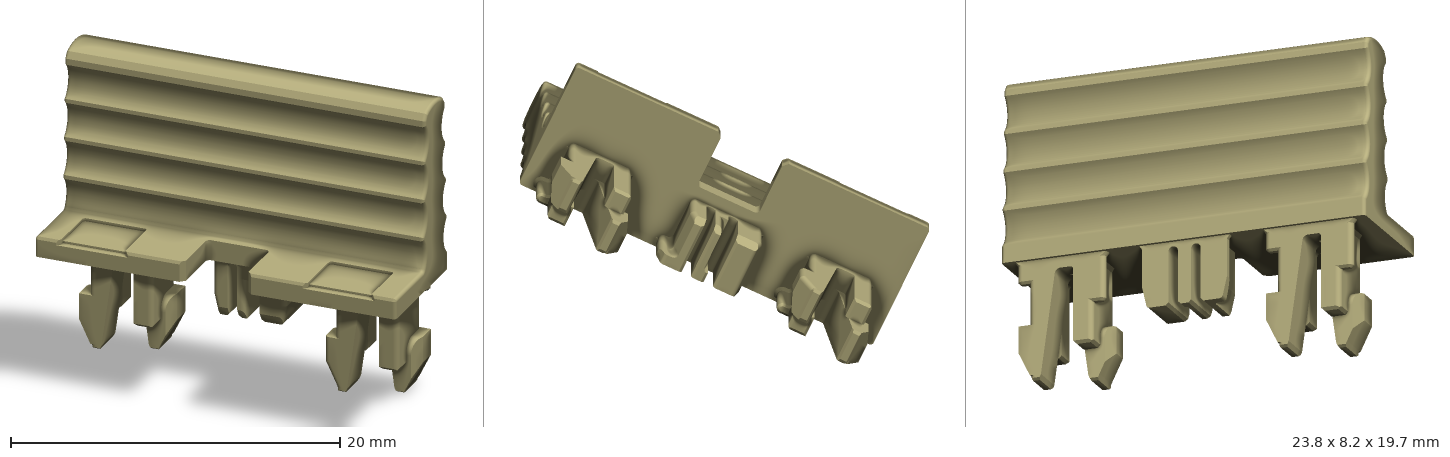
import cadquery as cq
import math


length = 23.8
top_z = 12.0
back_y = 2.0
front_y = -6.2
plate_top = 1.34
back_lip_z = 1.12
crown_half_width = 1.32
crown_edge_z = 11.7
grip_top_half = 1.6
grip_shoulder_z = 11.3
scallop_radius = 1.5
scallop_pitch = 2.5
scallop_count = 4
first_scallop_z = 2.28
first_valley_half = 1.45
end_round = 0.22
front_edge_depth = 0.1
front_edge_height = 0.18
foot_round = 0.25

side_slope = (back_y - grip_top_half) / (grip_shoulder_z - back_lip_z)

notch_half = 2.07
notch_back_y = -2.54
notch_corner = 0.27
notch_chamfer = 0.3
recess_center_x = 8.13
recess_width = 4.22
recess_front_y = -5.73
recess_floor_z = 1.14
recess_corner = 0.2
recess_lip_z = 1.0
recess_flare = 0.25
recess_flare_depth = 0.2

leg_offset = 8.1
leg_half_depth = 1.76
shank_half = 2.08
shank_round = 0.33
arm_split_y = 0.45
crotch_z = -0.7
crotch_corner = 0.2
slant_top_x = 0.39
slant_top_z = -1.03
crotch_mid_x = 0.28
crotch_mid_z = -0.8
column_inner_x = 0.82
column_end_z = -5.7
column_chamfer = 0.18
hook_x = 2.76
hook_top_z = -4.14
hook_knee_z = -5.86
tip_outer_x = 2.01
tip_inner_x = 1.29
tip_knee_z = -7.39
tip_z = -7.7
tip_bevel = 0.14
tip_chamfer_height = 0.2
tip_chamfer_depth = 0.13
hook_bevel_y = -0.5
hook_bevel_x = 2.38
hook_top_round = 0.9
hook_edge_round = 0.3

rib_x = 2.86
rib_front_y = 1.12
rib_fillet = 0.27
long_rib_end = -3.1
short_rib_end = -1.42
rib_end_chamfer = 0.15
root_flare = 0.17
root_height = 0.25

tongue_half = 2.78
tongue_step_x = 2.02
tongue_end_z = -4.05
tongue_taper_z = -2.67
tongue_end_half = 2.46
tongue_corner = 0.25
tongue_round = 0.32
cove_round = 0.3
tongue_bevel_z = -3.4
tongue_bevel_depth = 0.37
slot_inner_x = 0.43
slot_outer_x = 1.06
slot_top_z = -0.3
slot_mouth = 0.18
relief_x = 0.07
relief_top_z = -1.3
relief_outer_round = 0.29
relief_inner_round = 0.22


def box(x0, x1, y0, y1, z0, z1):
    return cq.Workplane("XY").box(x1 - x0, y1 - y0, z1 - z0, centered=False).translate((x0, y0, z0))


def plate_xz(points, y0, y1):
    """Closed XZ polygon filled from y0 to y1."""
    return cq.Workplane("XZ", origin=(0, y1, 0)).polyline(points).close().extrude(y1 - y0)


def side_half(z):
    """Half thickness of the unscalloped grip at height z."""
    return back_y - side_slope * (z - back_lip_z)


def scallop(index):
    """Ends and valley, as (half thickness, z), of one scallop, and the half thickness of its centre."""
    z = first_scallop_z + index * scallop_pitch
    valley = first_valley_half - side_slope * (z - first_scallop_z)
    center = valley + scallop_radius
    gap = center - side_half(z)
    half_chord = math.sqrt(scallop_radius**2 - gap**2)
    low = (side_half(z - half_chord), z - half_chord)
    high = (side_half(z + half_chord), z + half_chord)
    return low, (valley, z), high, center


def scallop_half(center, z_offset):
    """Half thickness of the grip in a scallop, z_offset away from the scallop axis."""
    return center - math.sqrt(scallop_radius**2 - z_offset**2)


def make_grip():
    """Scalloped grip and base plate as one long extrusion with rounded ends."""
    scallops = [scallop(i) for i in range(scallop_count)]
    profile = cq.Workplane("YZ", origin=(-length / 2, 0, 0)).moveTo(front_y, 0).lineTo(back_y, 0)
    for low, valley, high, _ in scallops:
        profile = profile.lineTo(*low).threePointArc(valley, high)
    profile = profile.lineTo(grip_top_half, grip_shoulder_z).lineTo(crown_half_width, crown_edge_z)
    profile = profile.threePointArc((0, top_z), (-crown_half_width, crown_edge_z))
    profile = profile.lineTo(-grip_top_half, grip_shoulder_z)
    for low, valley, high, _ in reversed(scallops[1:]):
        profile = profile.lineTo(-high[0], high[1]).threePointArc((-valley[0], valley[1]), (-low[0], low[1]))
    _, valley, high, center = scallops[0]
    foot_half = scallop_half(center, first_scallop_z - plate_top)
    profile = profile.lineTo(-high[0], high[1]).threePointArc((-valley[0], valley[1]), (-foot_half, plate_top))
    profile = profile.lineTo(front_y + front_edge_depth, plate_top).lineTo(front_y, plate_top - front_edge_height)
    grip = profile.close().extrude(length)
    foot_edge = cq.selectors.NearestToPointSelector((0, -foot_half, plate_top))
    grip = grip.edges(foot_edge).fillet(foot_round)
    return grip.faces("<X or >X").edges("not <Z").fillet(end_round)


def cut_notch(body):
    """Central notch open to the front, with chamfered mouth corners."""
    notch = box(-notch_half, notch_half, front_y, notch_back_y, 0, plate_top)
    notch = notch.edges("|Z and >Y").fillet(notch_corner)
    flare = (
        cq.Workplane("XY")
        .polyline([
            (-notch_half - notch_chamfer, front_y),
            (notch_half + notch_chamfer, front_y),
            (notch_half, front_y + notch_chamfer),
            (-notch_half, front_y + notch_chamfer),
        ])
        .close()
        .extrude(plate_top)
    )
    return body.cut(notch).cut(flare)


def cut_recess(body, center_x):
    """Shallow label recess with a lower step and a flared opening at the plate front."""
    half = recess_width / 2
    recess = box(-half, half, recess_front_y, notch_back_y, recess_floor_z, plate_top)
    recess = recess.edges("|Z and >Y").fillet(recess_corner)
    step = box(-half, half, front_y, recess_front_y, recess_lip_z, plate_top)
    flare = (
        cq.Workplane("XY", origin=(0, 0, recess_lip_z))
        .polyline([
            (-half - recess_flare, front_y),
            (half + recess_flare, front_y),
            (half, front_y + recess_flare_depth),
            (-half, front_y + recess_flare_depth),
        ])
        .close()
        .extrude(plate_top - recess_lip_z)
    )
    return body.cut(recess.union(step).union(flare).translate((center_x, 0, 0)))


def make_hook(rounded_edge):
    """Barb on the outside (-X) of an arm."""
    hook = plate_xz(
        [
            (-tip_inner_x - tip_bevel, hook_top_z),
            (-hook_x, hook_top_z),
            (-hook_x, hook_knee_z),
            (-tip_outer_x, tip_knee_z),
            (-tip_inner_x - tip_bevel, tip_knee_z),
        ],
        -leg_half_depth,
        arm_split_y,
    )
    hook = hook.faces(">Z").edges(">Y").fillet(hook_top_round)
    bevel = (
        cq.Workplane("XY", origin=(0, 0, tip_z))
        .polyline([(-hook_x, hook_bevel_y), (-hook_bevel_x, arm_split_y), (-hook_x, arm_split_y)])
        .close()
        .extrude(hook_top_z - tip_z)
    )
    hook = hook.cut(bevel)
    if rounded_edge:
        hook = hook.faces("<Y").edges("<X or (not (|X or |Z))").fillet(hook_edge_round)
    return hook


def make_half_leg(rounded_edge):
    """Left half (-X) of a snap leg: a hooked arm in front and a shorter column behind it."""
    arm = (
        cq.Workplane("XZ", origin=(0, arm_split_y, 0))
        .moveTo(0, 0)
        .lineTo(-shank_half, 0)
        .lineTo(-shank_half, hook_knee_z)
        .lineTo(-tip_outer_x, tip_knee_z)
        .lineTo(-tip_outer_x + tip_bevel, tip_z)
        .lineTo(-tip_inner_x - tip_bevel, tip_z)
        .lineTo(-tip_inner_x, tip_knee_z)
        .lineTo(-slant_top_x, slant_top_z)
        .threePointArc((-crotch_mid_x, crotch_mid_z), (0, crotch_z))
        .close()
        .extrude(arm_split_y + leg_half_depth)
    )
    arm = arm.faces("<Z").edges("<Y or >Y").chamfer(tip_chamfer_height, tip_chamfer_depth)
    arm = arm.edges("|Z").edges("<X").edges("<Y").fillet(shank_round)

    column = box(-shank_half, -column_inner_x, arm_split_y, leg_half_depth, column_end_z, 0)
    column = column.faces("<Z").edges("not <Y").chamfer(column_chamfer)
    column = column.union(box(-shank_half, 0, arm_split_y, leg_half_depth, crotch_z, 0))
    crotch_edge = cq.selectors.NearestToPointSelector((-column_inner_x, arm_split_y + tip_bevel, crotch_z))
    column = column.edges("|Y").edges(crotch_edge).fillet(crotch_corner)
    column = column.edges("|Z").edges("<X").edges(">Y").fillet(shank_round)
    return arm.union(column).union(make_hook(rounded_edge))


def make_rib(end_z):
    """Rib on the left rear side of a shank, filleted into it and flared where it leaves the plate."""
    nose = (leg_half_depth - rib_front_y) / 2
    corner_y = rib_front_y - rib_fillet
    bend = rib_fillet * (1 - math.sqrt(0.5))

    def outline():
        return (
            cq.Workplane("XY")
            .moveTo(-shank_half + shank_round, leg_half_depth)
            .lineTo(-rib_x + nose, leg_half_depth)
            .threePointArc((-rib_x, leg_half_depth - nose), (-rib_x + nose, rib_front_y))
            .lineTo(-shank_half - rib_fillet, rib_front_y)
            .threePointArc((-shank_half - bend, rib_front_y - bend), (-shank_half, corner_y))
            .lineTo(-shank_half + shank_round, corner_y)
            .close()
        )

    rib = outline().extrude(end_z)
    rib = rib.faces("<Z").edges("<X").chamfer(rib_end_chamfer)
    flare_angle = math.degrees(math.atan2(root_flare, root_height))
    root = outline().offset2D(root_flare).extrude(-root_height, taper=flare_angle)
    root = root.intersect(box(-length / 2, 0, 0, leg_half_depth, -root_height, 0))
    return rib.union(root)


def side_root(x, y0, y1):
    """Flare where the side wall at x, facing away from X = 0, meets the plate."""
    outward = math.copysign(root_flare, x)
    return plate_xz([(0, 0), (x + outward, 0), (x, -root_height), (0, -root_height)], y0, y1)


def make_leg(rounded_edge):
    """Snap leg with two opposed hooks, flared roots and a long and a short side rib."""
    opposite = make_half_leg(False).rotate((0, 0, 0), (0, 0, 1), 180)
    leg = make_half_leg(rounded_edge).union(opposite)
    straight_half = leg_half_depth - shank_round
    for x in (-shank_half, shank_half):
        leg = leg.union(side_root(x, -straight_half, straight_half))
    return leg.union(make_rib(long_rib_end)).union(make_rib(short_rib_end).mirror("YZ"))


def tongue_layer(left_x, y0, y1):
    """Tongue outline between y0 and y1; both sides taper towards the tip."""
    taper_width = tongue_half - tongue_end_half
    return plate_xz(
        [
            (left_x, 0),
            (left_x, tongue_taper_z),
            (left_x + taper_width, tongue_end_z),
            (tongue_end_half, tongue_end_z),
            (tongue_half, tongue_taper_z),
            (tongue_half, 0),
        ],
        y0,
        y1,
    )


def make_slot(side):
    """Round-topped slot through the tongue, open at its tip."""
    radius = (slot_outer_x - slot_inner_x) / 2
    center_x = side * (slot_inner_x + radius)
    return (
        cq.Workplane("XZ", origin=(center_x, leg_half_depth, 0))
        .moveTo(-radius - slot_mouth, tongue_end_z)
        .lineTo(-radius, tongue_end_z + slot_mouth)
        .lineTo(-radius, slot_top_z - radius)
        .threePointArc((0, slot_top_z), (radius, slot_top_z - radius))
        .lineTo(radius, tongue_end_z + slot_mouth)
        .lineTo(radius + slot_mouth, tongue_end_z)
        .close()
        .extrude(2 * leg_half_depth)
    )


def make_relief():
    """Rounded step cut into the front right side of the middle finger."""
    diagonal = math.sqrt(0.5)
    outer_center = (relief_x - relief_outer_round, -leg_half_depth + relief_outer_round)
    inner_center = (relief_x + relief_inner_round, rib_front_y - relief_inner_round)
    outer_mid = (outer_center[0] + relief_outer_round * diagonal, outer_center[1] - relief_outer_round * diagonal)
    inner_mid = (inner_center[0] - relief_inner_round * diagonal, inner_center[1] + relief_inner_round * diagonal)
    return (
        cq.Workplane("XY", origin=(0, 0, tongue_end_z))
        .moveTo(slot_inner_x, -leg_half_depth)
        .lineTo(outer_center[0], -leg_half_depth)
        .threePointArc(outer_mid, (relief_x, outer_center[1]))
        .lineTo(relief_x, inner_center[1])
        .threePointArc(inner_mid, (inner_center[0], rib_front_y))
        .lineTo(slot_inner_x, rib_front_y)
        .close()
        .extrude(relief_top_z - tongue_end_z)
    )


def make_tongue():
    """Slotted centre tongue: a full-width rear layer, and a thicker body that stops short on the left."""
    rear = tongue_layer(-tongue_half, rib_front_y, leg_half_depth)
    rear = rear.faces("<Z").edges("|Y").fillet(tongue_corner)
    rear = rear.faces("<Y").edges("<X").fillet(tongue_round)
    body = tongue_layer(-tongue_step_x, -leg_half_depth, leg_half_depth)
    body = body.faces("<Z").edges("|Y and >X").fillet(tongue_corner)
    body = body.faces("<Y").edges("not |X").fillet(tongue_round)
    bevel = (
        cq.Workplane("YZ", origin=(-tongue_half, 0, 0))
        .polyline([
            (-leg_half_depth, tongue_bevel_z),
            (-leg_half_depth + tongue_bevel_depth, tongue_end_z),
            (-leg_half_depth, tongue_end_z),
        ])
        .close()
        .extrude(2 * tongue_half)
    )
    tongue = rear.union(body.cut(bevel))
    step_start = (-tongue_step_x - root_flare, rib_front_y - root_flare, tongue_end_z)
    step_end = (0, rib_front_y + root_flare, 0)
    step_edges = cq.selectors.BoxSelector(step_start, step_end)
    tongue = tongue.edges(step_edges).edges("not |X").fillet(cove_round)
    for x, y0 in ((-tongue_half, rib_front_y + tongue_round), (tongue_half, tongue_round - leg_half_depth)):
        tongue = tongue.union(side_root(x, y0, leg_half_depth))
    return tongue.cut(make_relief()).cut(make_slot(-1)).cut(make_slot(1))


result = make_grip()
result = cut_notch(result)
for side in (-1, 1):
    result = cut_recess(result, side * recess_center_x)
    result = result.union(make_leg(side > 0).translate((side * leg_offset, 0, 0)))
result = result.union(make_tongue())